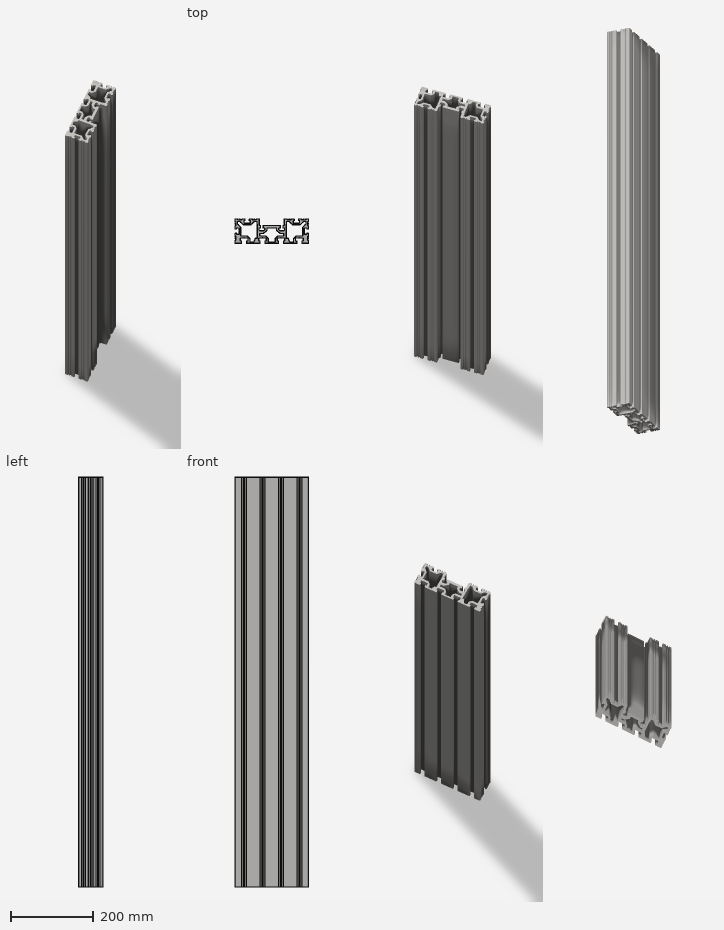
import cadquery as cq

LENGTH = 1000.0
WIDTH = 180.0
HEIGHT = 60.0
LEG = HEIGHT
HALF_WIDTH = WIDTH / 2
HALF_HEIGHT = HEIGHT / 2
LEG_CENTRE = HALF_WIDTH - LEG / 2
LEG_INNER = HALF_WIDTH - LEG
CORNER_RADIUS = 2.0

RECESS_FLOOR = 14.0
PLATE_UNDERSIDE = 7.5

BASE_PITCH = WIDTH / 4
BASE_CENTRES = [(i - 1.5) * BASE_PITCH for i in range(4)]
BASE_MOUTH = 12.0
BASE_INNER = 18.0
BASE_LIP = 6.0
BASE_DEPTH = 13.0
BASE_MOUTH_RADIUS = 0.5

LEG_MOUTH = 10.0
LEG_INNER_WIDTH = 15.0
LEG_LIP = 4.5
LEG_HEAD_DEPTH = 6.0
LEG_DEPTH = LEG_LIP + LEG_HEAD_DEPTH
LEG_MOUTH_RADIUS = 2.5

RECESS_SLOT_CENTRE = 24.0
RECESS_MOUTH = 6.0
RECESS_INNER = 13.0
RECESS_SLOT_DEPTH = 13.0
RECESS_SLOT_CHAMFER = 2.0

CENTRING_WIDTH = 2.0
CENTRING_DEPTH = 0.7

GROOVE_WIDTH = 4.0
GROOVE_WALL = 1.8
GROOVE_DEPTH = 2.4
GROOVE_NEAR = 15.0
GROOVE_PITCH = 5.5
GROOVE_FAR = GROOVE_NEAR + GROOVE_PITCH

SKIN = 6.5
SLOT_WALL = 5.5
BEHIND_LEG_SLOT = HALF_HEIGHT / 2
LEG_SLOT_WALL_FLAT = 18.0
BESIDE_BASE_SLOT = BASE_INNER / 2 + SLOT_WALL
ABOVE_BASE_SLOT = -HALF_HEIGHT + BASE_DEPTH + SLOT_WALL
BASE_SKIN = 4.0
CAVITY_FLOOR = -HALF_HEIGHT + BASE_SKIN
CAVITY_CHAMFER = 6.5
WALL_STEP = 15.0
WALL_STEP_HEIGHT = 3.0
POCKET_INNER = 40.0
POCKET_FOOT = 44.0
POCKET_LEDGE = -17.0

CENTRE_TOP_HALF = 11.0
CENTRE_SHOULDER = 2.0
CENTRE_WING_START = 21.0
CENTRE_WING_END = 29.0
CENTRE_WING_TOP = -6.0


def prism(points):
    """Solid of a closed section over the whole length, centred on Z = 0."""
    return cq.Workplane("XY").workplane(offset=-LENGTH / 2).polyline(points).close().extrude(LENGTH)


def mirrored(points):
    """Outline mirrored about X = 0."""
    return [(-x, y) for x, y in points]


def slot(mouth, inner, lip, depth, mouth_radius):
    """T-slot cutter opening towards +Y at Y = 0, with a rounded mouth and a centring groove in its floor."""
    half_mouth = mouth / 2
    half_inner = inner / 2
    half_groove = CENTRING_WIDTH / 2
    return (
        cq.Workplane("XY")
        .workplane(offset=-LENGTH / 2)
        .moveTo(-half_mouth - mouth_radius, 0)
        .radiusArc((-half_mouth, -mouth_radius), mouth_radius)
        .lineTo(-half_mouth, -lip)
        .lineTo(-half_inner, -lip)
        .lineTo(-half_inner, -depth)
        .lineTo(-half_groove, -depth)
        .lineTo(0, -depth - CENTRING_DEPTH)
        .lineTo(half_groove, -depth)
        .lineTo(half_inner, -depth)
        .lineTo(half_inner, -lip)
        .lineTo(half_mouth, -lip)
        .lineTo(half_mouth, -mouth_radius)
        .radiusArc((half_mouth + mouth_radius, 0), mouth_radius)
        .close()
        .extrude(LENGTH)
    )


def leg_slot():
    """Leg slot cutter together with the grooves beside it, opening towards +Y at Y = 0."""
    cutter = slot(LEG_MOUTH, LEG_INNER_WIDTH, LEG_LIP, LEG_DEPTH, LEG_MOUTH_RADIUS)
    for centre in (-GROOVE_FAR, -GROOVE_NEAR, GROOVE_NEAR, GROOVE_FAR):
        groove = (
            cq.Workplane("XY")
            .workplane(offset=-LENGTH / 2)
            .moveTo(centre - GROOVE_WIDTH / 2, 0)
            .lineTo(centre - GROOVE_WIDTH / 2, -GROOVE_WALL)
            .threePointArc((centre, -GROOVE_DEPTH), (centre + GROOVE_WIDTH / 2, -GROOVE_WALL))
            .lineTo(centre + GROOVE_WIDTH / 2, 0)
            .close()
            .extrude(LENGTH)
        )
        cutter = cutter.union(groove)
    return cutter


def place(cutter, x, y, turn=0):
    """Turn a cutter about Z, then move it to (x, y)."""
    return cutter.rotate((0, 0, 0), (0, 0, 1), turn).translate((x, y, 0))


def recess_slot():
    """Outline of the right recess slot, its floor corners chamfered."""
    floor = RECESS_FLOOR - RECESS_SLOT_DEPTH
    right = [
        (RECESS_MOUTH / 2, RECESS_FLOOR),
        (RECESS_MOUTH / 2, PLATE_UNDERSIDE),
        (RECESS_INNER / 2, PLATE_UNDERSIDE),
        (RECESS_INNER / 2, floor + RECESS_SLOT_CHAMFER),
        (RECESS_INNER / 2 - RECESS_SLOT_CHAMFER, floor),
    ]
    return [(x + RECESS_SLOT_CENTRE, y) for x, y in right + mirrored(reversed(right))]


def body():
    """Outer block with the recess, the long corners around the outside rounded."""
    outline = [
        (-HALF_WIDTH, -HALF_HEIGHT), (HALF_WIDTH, -HALF_HEIGHT),
        (HALF_WIDTH, HALF_HEIGHT), (LEG_INNER, HALF_HEIGHT),
        (LEG_INNER, RECESS_FLOOR), (-LEG_INNER, RECESS_FLOOR),
        (-LEG_INNER, HALF_HEIGHT), (-HALF_WIDTH, HALF_HEIGHT),
    ]
    block = prism(outline)
    outer_corners = [(x, y) for x, y in outline if y != RECESS_FLOOR]
    for x, y in outer_corners:
        block = block.edges(cq.selectors.NearestToPointSelector((x, y, 0))).fillet(CORNER_RADIUS)
    return block


def leg_cavity():
    """Outline of the hollow in the right leg; diagonal channels reach into its upper corners."""
    side_wall = LEG_CENTRE + BEHIND_LEG_SLOT
    channel_ceiling = HALF_HEIGHT - SKIN
    channel_wall = HALF_WIDTH - SKIN
    rise = channel_ceiling - BEHIND_LEG_SLOT
    half_flat = LEG_SLOT_WALL_FLAT / 2
    pocket_outer = BASE_CENTRES[-1] - BESIDE_BASE_SLOT
    return [
        (LEG_INNER + SLOT_WALL, WALL_STEP),
        (LEG_INNER + SKIN, WALL_STEP + WALL_STEP_HEIGHT),
        (LEG_INNER + SKIN, channel_ceiling),
        (LEG_CENTRE - half_flat - rise, channel_ceiling),
        (LEG_CENTRE - half_flat, BEHIND_LEG_SLOT),
        (LEG_CENTRE + half_flat, BEHIND_LEG_SLOT),
        (LEG_CENTRE + half_flat + rise, channel_ceiling),
        (channel_wall, channel_ceiling),
        (channel_wall, half_flat + rise),
        (side_wall, half_flat),
        (side_wall, ABOVE_BASE_SLOT),
        (pocket_outer + CAVITY_CHAMFER, ABOVE_BASE_SLOT),
        (pocket_outer, ABOVE_BASE_SLOT - CAVITY_CHAMFER),
        (pocket_outer, CAVITY_FLOOR),
        (POCKET_FOOT, CAVITY_FLOOR),
        (POCKET_INNER, POCKET_LEDGE),
        (LEG_INNER + SLOT_WALL, POCKET_LEDGE),
    ]


def centre_cavity():
    """Outline of the hollow under the recess floor, with a wing on each side."""
    pocket_half = BASE_CENTRES[2] - BESIDE_BASE_SLOT
    right = [
        (CENTRE_TOP_HALF, PLATE_UNDERSIDE),
        (CENTRE_TOP_HALF, CENTRE_SHOULDER),
        (CENTRE_WING_START, CENTRE_WING_TOP),
        (CENTRE_WING_END, CENTRE_WING_TOP),
        (CENTRE_WING_END, ABOVE_BASE_SLOT),
        (pocket_half + CAVITY_CHAMFER, ABOVE_BASE_SLOT),
        (pocket_half, ABOVE_BASE_SLOT - CAVITY_CHAMFER),
        (pocket_half, CAVITY_FLOOR),
    ]
    return right + mirrored(reversed(right))


result = body()

base_slot = slot(BASE_MOUTH, BASE_INNER, BASE_LIP, BASE_DEPTH, BASE_MOUTH_RADIUS)
for centre in BASE_CENTRES:
    result = result.cut(place(base_slot, centre, -HALF_HEIGHT, 180))

side_slot = leg_slot()
for side in (-1, 1):
    result = result.cut(place(side_slot, side * LEG_CENTRE, HALF_HEIGHT))
    result = result.cut(place(side_slot, side * HALF_WIDTH, 0, -90 * side))

for outline in (recess_slot(), leg_cavity()):
    result = result.cut(prism(outline)).cut(prism(mirrored(outline)))
result = result.cut(prism(centre_cavity()))